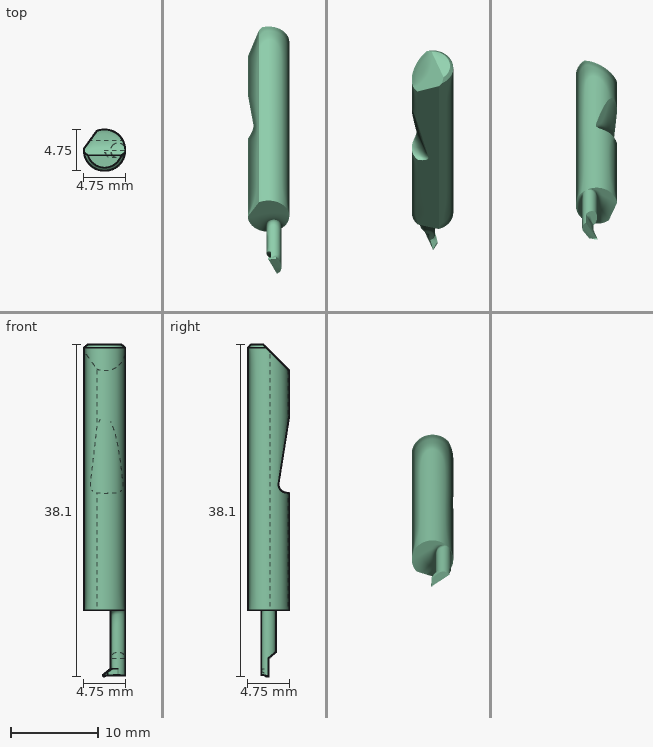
import cadquery as cq
import math

total_length = 38.1
shank_diameter = 4.75
shank_radius = shank_diameter / 2
shank_bottom = 7.62
top_chamfer = 0.4
top_flat_edge_y = -0.6

flat_distance = 2.02
flat_angle = 144.0

notch_top = 29.87
notch_bottom = 21.07
notch_tilt = 9.0
notch_fillet = 0.9

neck_diameter = 1.7
neck_radius = neck_diameter / 2
neck_x = shank_radius - neck_radius
relief_start = 2.85
relief_end = 2.15

tooth_left = -0.2
nose_size = 0.1
tooth_top = 0.95
tooth_top_left = 0.7
side_clearance = 0.23
end_clearance = 0.1
heel_x = 0.4
heel_y = -0.75


def profile_along_x(points, width):
    """Prism with a (y, z) outline, centred on x = 0."""
    return cq.Workplane("YZ").polyline(points).close().extrude(width / 2, both=True)


def make_shank():
    length = total_length - shank_bottom
    shank = cq.Workplane("XY").workplane(offset=shank_bottom).circle(shank_radius).extrude(length)
    shank = shank.faces(">Z").chamfer(top_chamfer)

    run = 2 * shank_radius
    slant = profile_along_x(
        [
            (top_flat_edge_y, total_length),
            (top_flat_edge_y + run, total_length),
            (top_flat_edge_y + run, total_length - run),
        ],
        2 * run,
    )

    flat = (
        cq.Workplane("XY")
        .box(shank_radius, 4 * shank_radius, total_length, centered=(False, True, False))
        .translate((flat_distance, 0, 0))
        .rotate((0, 0, 0), (0, 0, 1), flat_angle)
    )
    return shank.cut(slant).cut(flat).cut(make_notch())


def make_notch():
    """Tilted square-cornered notch, open at the back and rounded in its corner."""
    tilt = math.radians(notch_tilt)
    opening = notch_top - notch_bottom
    long_side = opening * math.cos(tilt)
    corner_y = shank_radius - long_side * math.sin(tilt)
    corner_z = notch_top - long_side * math.cos(tilt)
    notch = profile_along_x(
        [(shank_radius, notch_top), (corner_y, corner_z), (shank_radius, notch_bottom)],
        4 * shank_radius,
    )
    return notch.edges("|X and <Y").fillet(notch_fillet)


def make_neck():
    neck = cq.Workplane("XY").center(neck_x, 0).circle(neck_radius).extrude(shank_bottom)
    relief = profile_along_x(
        [(0, 0), (neck_radius, 0), (neck_radius, relief_start), (0, relief_end)],
        4 * shank_radius,
    )
    underside = profile_along_x(
        [(0, 0), (0, nose_size), (-neck_radius, nose_size + end_clearance), (-neck_radius, 0)],
        4 * shank_radius,
    )
    tooth_space = (
        cq.Workplane("XY")
        .box(2 * neck_radius, neck_radius, tooth_top, centered=False)
        .translate((neck_x - 2 * neck_radius, -neck_radius, 0))
    )
    return neck.cut(relief).cut(underside).cut(tooth_space)


def tooth_outline(shift, rise):
    """Tooth outline in (x, z), with its left side shifted and its underside raised."""
    left = tooth_left + shift
    return [
        (left, 2 * nose_size + rise),
        (left, nose_size + rise),
        (left + nose_size, rise),
        (left + 2 * nose_size, nose_size + rise),
        (neck_x, nose_size + rise),
        (neck_x, tooth_top),
        (tooth_top_left + shift, tooth_top),
    ]


def make_tooth():
    tooth = (
        cq.Workplane("XZ")
        .polyline(tooth_outline(0, 0))
        .close()
        .workplane(offset=neck_radius)
        .polyline(tooth_outline(side_clearance, end_clearance))
        .close()
        .loft(ruled=True)
    )
    plan = (
        cq.Workplane("XY")
        .polyline([(tooth_left, 0), (neck_x, 0), (neck_x, -neck_radius), (heel_x, heel_y)])
        .close()
        .extrude(tooth_top)
    )
    return tooth.intersect(plan)


result = make_shank().union(make_neck()).union(make_tooth())